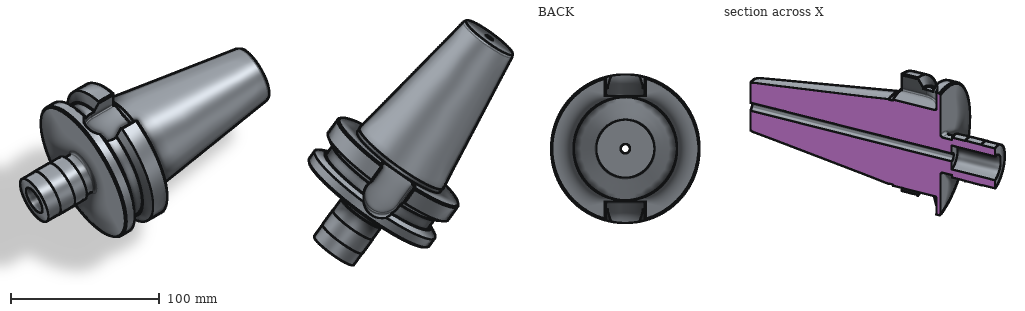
import cadquery as cq


LENGTH = 179.8
NOSE_FRONT_BAND_END = 10.0
NOSE_MIDDLE_BAND_END = 22.0
NOSE_END = 31.6
FLANGE_FRONT = 40.0
FRONT_RIM_END = 47.5
GROOVE_FRONT = 50.5
GROOVE_BACK = 58.6
BACK_RIM_START = 62.5
FLANGE_BACK = 75.0
GAUGE_LINE = 78.0

NOSE_MIDDLE_RADIUS = 16.7
NOSE_BAND_STEP = 0.2
NECK_RADIUS = 14.5
FLANGE_RADIUS = 50.0
GROOVE_RADIUS = 42.5
FRONT_FLANK_FOOT_RADIUS = 44.0
BACK_FLANK_FOOT_RADIUS = 43.5
COLLAR_RADIUS = 34.5
GAUGE_RADIUS = 34.9
TAPER_RATE = 7 / 48
TAPER_END_RADIUS = GAUGE_RADIUS - TAPER_RATE * (LENGTH - GAUGE_LINE)

NECK_FILLET = 1.8
EDGE_CHAMFER = 0.9
TAPER_CHAMFER_LENGTH = 1.8
TAPER_CHAMFER_DEPTH = 0.5

SLOT_WIDTH = 25.7
SLOT_FLOOR_HEIGHT = 35.5
SLOT_END = 43.3
SLOT_FLOOR_FILLET = 0.99
SLOT_EDGE_CHAMFER = 1.0

BORE_RADIUS = 9.5
BORE_DEPTH = NOSE_END
COOLANT_RADIUS = 3.0


def make_body():
    """Revolve the half outline (radius, Y) about the Y axis."""
    outer_band_radius = NOSE_MIDDLE_RADIUS - NOSE_BAND_STEP
    taper_chamfer_start = LENGTH - TAPER_CHAMFER_LENGTH
    taper_chamfer_radius = TAPER_END_RADIUS + TAPER_RATE * TAPER_CHAMFER_LENGTH
    outline = (
        cq.Workplane("XY")
        .moveTo(0, 0)
        .lineTo(outer_band_radius, 0)
        .lineTo(outer_band_radius, NOSE_FRONT_BAND_END)
        .lineTo(NOSE_MIDDLE_RADIUS, NOSE_FRONT_BAND_END)
        .lineTo(NOSE_MIDDLE_RADIUS, NOSE_MIDDLE_BAND_END)
        .lineTo(outer_band_radius, NOSE_MIDDLE_BAND_END)
        .lineTo(outer_band_radius, NOSE_END)
        .lineTo(NECK_RADIUS, NOSE_END)
        .lineTo(NECK_RADIUS, FLANGE_FRONT - NECK_FILLET)
        .radiusArc((NECK_RADIUS + NECK_FILLET, FLANGE_FRONT), NECK_FILLET)
        .lineTo(FLANGE_RADIUS - EDGE_CHAMFER, FLANGE_FRONT)
        .lineTo(FLANGE_RADIUS, FLANGE_FRONT + EDGE_CHAMFER)
        .lineTo(FLANGE_RADIUS, FRONT_RIM_END)
        .lineTo(FRONT_FLANK_FOOT_RADIUS, GROOVE_FRONT)
        .lineTo(GROOVE_RADIUS, GROOVE_FRONT)
        .lineTo(GROOVE_RADIUS, GROOVE_BACK)
        .lineTo(BACK_FLANK_FOOT_RADIUS, GROOVE_BACK)
        .lineTo(FLANGE_RADIUS, BACK_RIM_START)
        .lineTo(FLANGE_RADIUS, FLANGE_BACK - EDGE_CHAMFER)
        .lineTo(FLANGE_RADIUS - EDGE_CHAMFER, FLANGE_BACK)
        .lineTo(COLLAR_RADIUS, FLANGE_BACK)
        .lineTo(COLLAR_RADIUS, GAUGE_LINE)
        .lineTo(GAUGE_RADIUS, GAUGE_LINE)
        .lineTo(taper_chamfer_radius, taper_chamfer_start)
        .lineTo(TAPER_END_RADIUS - TAPER_CHAMFER_DEPTH, LENGTH)
        .lineTo(0, LENGTH)
        .close()
    )
    return outline.revolve(360, (0, 0, 0), (0, 1, 0))


def make_slot_cutter():
    """Round-ended drive slot on the +Z side, open toward the taper."""
    half_width = SLOT_WIDTH / 2
    arc_center = SLOT_END + half_width
    slot = (
        cq.Workplane("XY", origin=(0, 0, SLOT_FLOOR_HEIGHT))
        .moveTo(half_width, FLANGE_BACK)
        .lineTo(half_width, arc_center)
        .threePointArc((0, SLOT_END), (-half_width, arc_center))
        .lineTo(-half_width, FLANGE_BACK)
        .close()
        .extrude(FLANGE_RADIUS - SLOT_FLOOR_HEIGHT)
    )
    return slot.faces("<Z").edges("not >Y").fillet(SLOT_FLOOR_FILLET)


def make_rim_bevel_cutter():
    """Flared prism that bevels the slot's long edges along the back rim."""
    half_width = SLOT_WIDTH / 2
    edge_height = (FLANGE_RADIUS**2 - half_width**2) ** 0.5
    bevel_bottom = edge_height - SLOT_EDGE_CHAMFER
    rise = FLANGE_RADIUS - bevel_bottom
    return (
        cq.Workplane("XZ", origin=(0, FLANGE_BACK, 0))
        .moveTo(-half_width, bevel_bottom)
        .lineTo(half_width, bevel_bottom)
        .lineTo(half_width + rise, FLANGE_RADIUS)
        .lineTo(-half_width - rise, FLANGE_RADIUS)
        .close()
        .extrude(FLANGE_BACK - BACK_RIM_START)
    )


def make_mouth_bevel_cutter():
    """Flared prism that bevels the slot's wall edges at the back face of the flange."""
    half_width = SLOT_WIDTH / 2
    bevel_start = FLANGE_BACK - SLOT_EDGE_CHAMFER
    return (
        cq.Workplane("XY", origin=(0, 0, SLOT_FLOOR_HEIGHT))
        .moveTo(-half_width, bevel_start)
        .lineTo(half_width, bevel_start)
        .lineTo(half_width + SLOT_EDGE_CHAMFER, FLANGE_BACK)
        .lineTo(-half_width - SLOT_EDGE_CHAMFER, FLANGE_BACK)
        .close()
        .extrude(FLANGE_RADIUS - SLOT_FLOOR_HEIGHT)
    )


def make_axial_hole(radius, depth):
    """Cylinder along the axis, starting at the nose face."""
    return cq.Workplane("XZ").circle(radius).extrude(-depth)


result = make_body()
slot_cutter = make_slot_cutter()
slot_cutter = slot_cutter.union(make_rim_bevel_cutter()).union(make_mouth_bevel_cutter())
for turn in (0, 180):
    result = result.cut(slot_cutter.rotate((0, 0, 0), (0, 1, 0), turn))
result = result.cut(make_axial_hole(BORE_RADIUS, BORE_DEPTH))
result = result.cut(make_axial_hole(COOLANT_RADIUS, LENGTH))